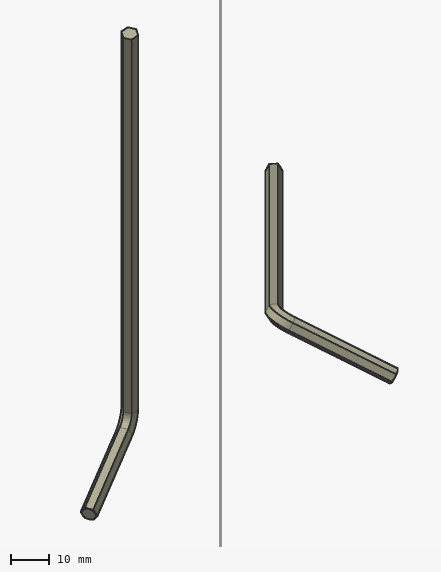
import cadquery as cq
import math

height = 147.0
reach = 37.0
across_flats = 4.0
inner_bend_radius = 3.0
end_face_diameter = 3.8
bevel_angle = 30.0

across_corners = across_flats / math.cos(math.radians(30))
half_flats = across_flats / 2
bend_radius = inner_bend_radius + half_flats

upright_y = reach - half_flats


def bent_bar():
    """Sweep the hexagon along the two arms, flats facing the inside of the bend."""
    diagonal = bend_radius * math.sqrt(0.5)
    centre_y = upright_y - bend_radius
    path = (
        cq.Workplane("YZ")
        .lineTo(centre_y, 0)
        .threePointArc(
            (centre_y + diagonal, bend_radius - diagonal),
            (upright_y, bend_radius),
        )
        .lineTo(upright_y, height - half_flats)
    )
    return cq.Workplane("XZ").polygon(6, across_corners).sweep(path)


def bevel_cutter():
    """Ring around the short arm's free end whose conical inside bevels the hexagon corners."""
    end_radius = end_face_diameter / 2
    outer_radius = across_corners
    bevel_depth = (outer_radius - end_radius) * math.tan(math.radians(bevel_angle))
    return (
        cq.Workplane("XY")
        .moveTo(end_radius, 0)
        .lineTo(outer_radius, 0)
        .lineTo(outer_radius, bevel_depth)
        .close()
        .revolve(360, (0, 0), (0, 1))
    )


result = bent_bar().cut(bevel_cutter())